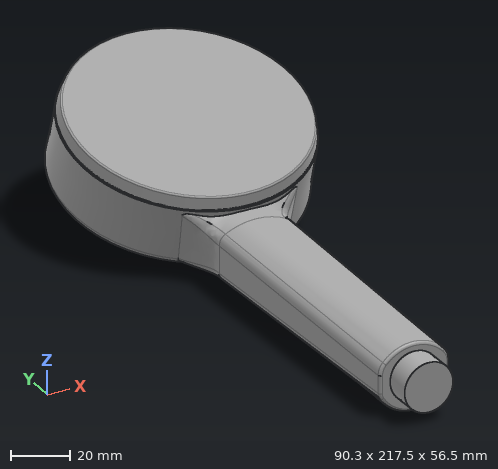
import cadquery as cq
import math

connector_radius = 9.4
connector_length = 10.0

head_tilt = 16.2
face_center_y = 166.6
face_center_z = 31.5
face_radius = 43.5
seam_radius = 44.5
body_top_radius = 44.8
head_radius = 45.2
seam_depth = 5.0
seam_step = 0.5
head_depth = 29.1
face_edge_round = 0.7
back_edge_round = 2.6

handle_tail = (connector_length, 0, 13.5, 5.2, 12.6, -4.8, -13.0, 6.5, 4.4)
handle_front = (119.6, 0, 14.4, 7.6, 12.0, -7.2, -10.9, 4.4, 3.3)
neck_waist = (125.7, 4, 15.0, 8.5, 12.6, -7.6, -10.7, 4.0, 3.0)
neck_root = (133.8, head_tilt, 20.9, 14.4, 15.0, -6.5, -8.7, 1.7, 1.7)
neck_inner_end = (140.3, head_tilt, 25.0, 15.9, 16.3, -4.4, -5.5, 1.7, 1.7)
tail_edge_round = 1.0


def cross_section(y, lean, half_width, upper_z, crown_z, lower_z, keel_z, upper_round, lower_round):
    """Closed wire at the given y, its plane tipped about X by the lean angle."""
    outline = (
        cq.Workplane("XZ")
        .moveTo(-half_width, upper_z)
        .threePointArc((0, crown_z), (half_width, upper_z))
        .lineTo(half_width, lower_z)
        .threePointArc((0, keel_z), (-half_width, lower_z))
        .close()
        .val()
    )
    upper_corners = [v for v in outline.Vertices() if v.Z > 0]
    outline = outline.fillet2D(upper_round, upper_corners)
    lower_corners = [v for v in outline.Vertices() if math.isclose(v.Z, lower_z)]
    outline = outline.fillet2D(lower_round, lower_corners)
    leaned = outline.rotate(cq.Vector(0, 0, 0), cq.Vector(1, 0, 0), lean)
    return leaned.translate(cq.Vector(0, y, 0))


def make_connector():
    overlap = 2.2
    start = cq.Workplane("XZ", origin=(0, connector_length + overlap, 0))
    return start.circle(connector_radius).extrude(connector_length + overlap)


def make_handle():
    wires = [cross_section(*section) for section in (handle_tail, handle_front)]
    handle = cq.Workplane(cq.Solid.makeLoft(wires, True))
    return handle.faces("<Y").edges().fillet(tail_edge_round)


def make_neck():
    sections = (handle_front, neck_waist, neck_root, neck_inner_end)
    wires = [cross_section(*section) for section in sections]
    return cq.Workplane(cq.Solid.makeLoft(wires))


def make_head():
    profile = (
        cq.Workplane("XZ")
        .polyline([
            (0, 0),
            (face_radius, 0),
            (seam_radius, -seam_depth),
            (seam_radius - seam_step, -seam_depth),
            (seam_radius - seam_step, -seam_depth - seam_step),
            (body_top_radius, -seam_depth - seam_step),
            (head_radius, -head_depth),
            (0, -head_depth),
        ])
        .close()
    )
    drum = profile.revolve(360, (0, 0, 0), (0, 1, 0))
    drum = drum.faces(">Z").edges().fillet(face_edge_round)
    drum = drum.faces("<Z").edges().fillet(back_edge_round)
    tilted = drum.rotate((0, 0, 0), (1, 0, 0), head_tilt)
    return tilted.translate((0, face_center_y, face_center_z))


result = make_head().union(make_neck()).union(make_handle()).union(make_connector())